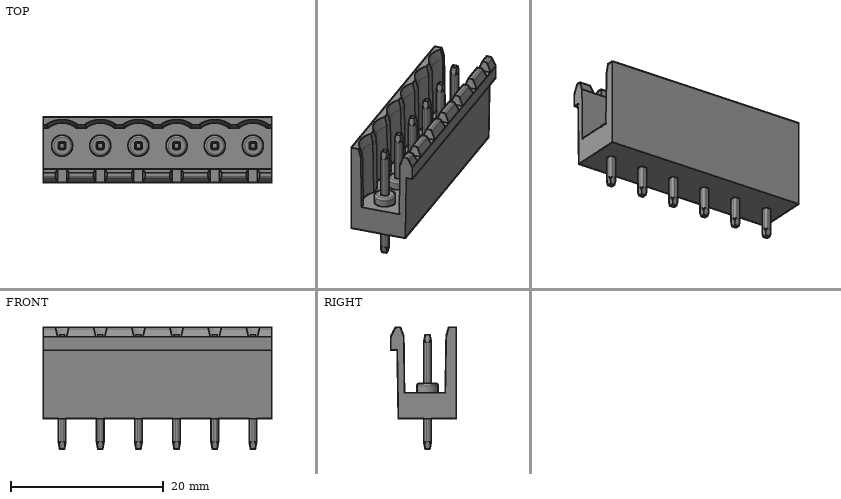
import cadquery as cq

CONTACT_COUNT = 6
LENGTH = 30.0
DEPTH = 8.6
PITCH = LENGTH / CONTACT_COUNT

HEIGHT = 12.0
FLOOR_Z = 3.42
LEAD_IN_DEPTH = 1.23
LEAD_IN_Z = HEIGHT - LEAD_IN_DEPTH
LIP_BOTTOM_Z = 9.0

BACK_Y = 3.78
BACK_WALL_AT_FLOOR = 1.47
BACK_WALL_AT_LEAD_IN = 1.35
BACK_WALL_AT_TOP = 1.02

LIP_FRONT_Y = BACK_Y - DEPTH
FRONT_INNER_AT_FLOOR_Y = -3.0
FRONT_INNER_AT_LEAD_IN_Y = -3.1
FRONT_INNER_AT_TOP_Y = -3.55
LIP_TOP_FRONT_Y = -4.2
LIP_TOP_RADIUS = 0.35
FRONT_OUTER_AT_LIP_Y = -4.0
FRONT_OUTER_AT_BOTTOM_Y = -3.85

SCALLOP_FLOOR_RADIUS = 2.97
SCALLOP_LEAD_IN_RADIUS = 3.05
SCALLOP_TOP_RADIUS = 3.42

NOTCH_TOP_WIDTH = 1.77
NOTCH_FLOOR_WIDTH = 1.2

COLLAR_RADIUS = 1.38
COLLAR_TOP_Z = 4.62
COLLAR_FILLET = 0.27

PIN_WIDTH = 1.02
PIN_CORNER_RADIUS = 0.33
PIN_TIP_WIDTH = 0.63
PIN_TIP_LENGTH = 1.02
PIN_BOTTOM_Z = -4.0
PIN_TOP_Z = 11.0


def make_housing():
    """U-shaped trough with drafted walls, lead-in bevels and a front lip."""
    outline = [
        (BACK_Y, 0),
        (BACK_Y, HEIGHT),
        (BACK_Y - BACK_WALL_AT_TOP, HEIGHT),
        (BACK_Y - BACK_WALL_AT_LEAD_IN, LEAD_IN_Z),
        (BACK_Y - BACK_WALL_AT_FLOOR, FLOOR_Z),
        (FRONT_INNER_AT_FLOOR_Y, FLOOR_Z),
        (FRONT_INNER_AT_LEAD_IN_Y, LEAD_IN_Z),
        (FRONT_INNER_AT_TOP_Y, HEIGHT),
        (LIP_TOP_FRONT_Y, HEIGHT),
        (LIP_FRONT_Y, LEAD_IN_Z),
        (LIP_FRONT_Y, LIP_BOTTOM_Z),
        (FRONT_OUTER_AT_LIP_Y, LIP_BOTTOM_Z),
        (FRONT_OUTER_AT_BOTTOM_Y, 0),
    ]
    trough = cq.Workplane("YZ").polyline(outline).close().extrude(LENGTH / 2, both=True)
    lip_top_edge = cq.selectors.NearestToPointSelector((0, LIP_TOP_FRONT_Y, HEIGHT))
    return trough.edges("|X").edges(lip_top_edge).fillet(LIP_TOP_RADIUS)


def make_scallop():
    """Revolved cutter: slightly conical bore with a wider conical lead-in."""
    return (
        cq.Workplane("XZ")
        .moveTo(0, FLOOR_Z)
        .lineTo(SCALLOP_FLOOR_RADIUS, FLOOR_Z)
        .lineTo(SCALLOP_LEAD_IN_RADIUS, LEAD_IN_Z)
        .lineTo(SCALLOP_TOP_RADIUS, HEIGHT)
        .lineTo(0, HEIGHT)
        .close()
        .revolve(360, (0, 0), (0, 1))
    )


def make_notch():
    """Trapezoidal cutter running through the front wall above the lead-in height."""
    return (
        cq.Workplane("XZ")
        .moveTo(-NOTCH_FLOOR_WIDTH / 2, LEAD_IN_Z)
        .lineTo(NOTCH_FLOOR_WIDTH / 2, LEAD_IN_Z)
        .lineTo(NOTCH_TOP_WIDTH / 2, HEIGHT)
        .lineTo(-NOTCH_TOP_WIDTH / 2, HEIGHT)
        .close()
        .extrude(-LIP_FRONT_Y)
    )


def make_collar():
    """Round boss on the trough floor with a rounded rim."""
    return (
        cq.Workplane("XY", origin=(0, 0, FLOOR_Z))
        .circle(COLLAR_RADIUS)
        .extrude(COLLAR_TOP_Z - FLOOR_Z)
        .faces(">Z")
        .edges()
        .fillet(COLLAR_FILLET)
    )


def make_pin():
    """Square pin with rounded corners, trimmed to a pyramid tip at both ends."""
    pin_body = (
        cq.Workplane("XY", origin=(0, 0, PIN_BOTTOM_Z))
        .rect(PIN_WIDTH, PIN_WIDTH)
        .extrude(PIN_TOP_Z - PIN_BOTTOM_Z)
        .edges("|Z")
        .fillet(PIN_CORNER_RADIUS)
    )
    tapered_outline = [
        (PIN_TIP_WIDTH / 2, PIN_BOTTOM_Z),
        (PIN_WIDTH / 2, PIN_BOTTOM_Z + PIN_TIP_LENGTH),
        (PIN_WIDTH / 2, PIN_TOP_Z - PIN_TIP_LENGTH),
        (PIN_TIP_WIDTH / 2, PIN_TOP_Z),
    ]
    tapered_outline += [(-x, z) for x, z in reversed(tapered_outline)]
    for plane in ("XZ", "YZ"):
        envelope = cq.Workplane(plane).polyline(tapered_outline).close().extrude(PIN_WIDTH, both=True)
        pin_body = pin_body.intersect(envelope)
    return pin_body


scallop = make_scallop()
notch = make_notch()
collar = make_collar()
pin = make_pin()

result = make_housing()
for index in range(CONTACT_COUNT):
    place = ((index + 0.5) * PITCH - LENGTH / 2, 0, 0)
    result = result.cut(scallop.translate(place)).cut(notch.translate(place))
    result = result.union(collar.translate(place)).union(pin.translate(place))